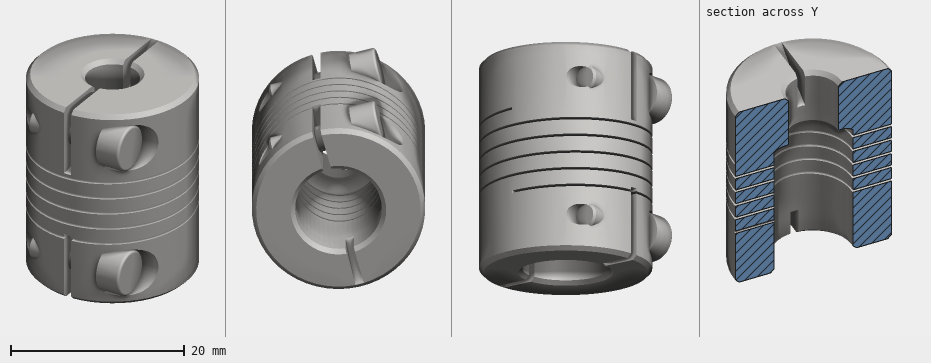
import cadquery as cq
import math

OUTER_RADIUS = 10.0
LENGTH = 25.0
HALF_LENGTH = LENGTH / 2
EDGE_CHAMFER = 0.5

SMALL_BORE_RADIUS = 3.175
LARGE_BORE_RADIUS = 5.0
SHOULDER_Z = 5.5
SHOULDER_ARC_RADIUS = 2.0
SHOULDER_ARC_DROP = 0.5
SHOULDER_ARC_REACH = math.sqrt(SHOULDER_ARC_RADIUS**2 - (SHOULDER_ARC_RADIUS - SHOULDER_ARC_DROP) ** 2)

HELIX_PITCH = 2.0
HELIX_TURNS = 5
HELIX_HEIGHT = HELIX_PITCH * HELIX_TURNS
HELIX_WIDTH = 0.3
CUT_OVERRUN = 0.2

SLOT_WIDTH = 1.0
SLOT_DEPTH = 8.5
SAW_RADIUS = 30.0
SAW_CENTRE_Z = HALF_LENGTH - SLOT_DEPTH + SAW_RADIUS
SAW_EXIT_Y = OUTER_RADIUS - EDGE_CHAMFER
SAW_CENTRE_Y = SAW_EXIT_Y - math.sqrt(SAW_RADIUS**2 - (SAW_CENTRE_Z - HALF_LENGTH) ** 2)

SCREW_Y = -7.5
SCREW_END_DISTANCE = 4.25
SCREW_Z = HALF_LENGTH - SCREW_END_DISTANCE
THREAD_RADIUS = 1.5
THREAD_LENGTH = 10.0
TIP_CHAMFER = 0.25
HEAD_RADIUS = 2.75
HEAD_LENGTH = 3.0
HEAD_FILLET = 0.3
HEAD_SEAT_X = 4.0
TIP_X = HEAD_SEAT_X - THREAD_LENGTH

TAP_RADIUS = THREAD_RADIUS - TIP_CHAMFER
COUNTERBORE_RADIUS = 3.0


def cylinder_along_x(radius, start_x, end_x, y, z):
    """Cylinder parallel to X between two X positions."""
    return cq.Workplane("YZ", origin=(start_x, y, z)).circle(radius).extrude(end_x - start_x)


def hub_blank():
    """Chamfered tube with a stepped, chamfered bore, turned about Z."""
    small_mouth = SMALL_BORE_RADIUS + EDGE_CHAMFER
    large_mouth = LARGE_BORE_RADIUS + EDGE_CHAMFER
    rim = OUTER_RADIUS - EDGE_CHAMFER
    edge_z = HALF_LENGTH - EDGE_CHAMFER
    return (
        cq.Workplane("XZ")
        .moveTo(small_mouth, HALF_LENGTH)
        .lineTo(rim, HALF_LENGTH)
        .lineTo(OUTER_RADIUS, edge_z)
        .lineTo(OUTER_RADIUS, -edge_z)
        .lineTo(rim, -HALF_LENGTH)
        .lineTo(large_mouth, -HALF_LENGTH)
        .lineTo(LARGE_BORE_RADIUS, -edge_z)
        .lineTo(LARGE_BORE_RADIUS, SHOULDER_Z - SHOULDER_ARC_DROP)
        .radiusArc((LARGE_BORE_RADIUS - SHOULDER_ARC_REACH, SHOULDER_Z), -SHOULDER_ARC_RADIUS)
        .lineTo(SMALL_BORE_RADIUS, SHOULDER_Z)
        .lineTo(SMALL_BORE_RADIUS, edge_z)
        .close()
        .revolve(360, (0, 0), (0, 1))
    )


def helical_cut():
    """Thin right-handed helical strip that passes right through the wall."""
    inner = LARGE_BORE_RADIUS - CUT_OVERRUN
    outer = OUTER_RADIUS + CUT_OVERRUN
    middle = (inner + outer) / 2
    path = cq.Workplane(cq.Wire.makeHelix(HELIX_PITCH, HELIX_HEIGHT, middle))
    strip = (
        cq.Workplane("XZ")
        .center(middle, 0)
        .rect(outer - inner, HELIX_WIDTH)
        .sweep(path, isFrenet=True)
    )
    return strip.rotate((0, 0, 0), (0, 0, 1), 180).translate((0, 0, -HELIX_HEIGHT / 2))


def clamp_slot(end):
    """Saw-blade cut at the top (end = 1) or the bottom (end = -1)."""
    return cylinder_along_x(SAW_RADIUS, -SLOT_WIDTH / 2, SLOT_WIDTH / 2, SAW_CENTRE_Y, end * SAW_CENTRE_Z)


def screw_hole(z):
    """Tapped hole on the -X side and counterbore for the head on the +X side."""
    tap = cylinder_along_x(TAP_RADIUS, -OUTER_RADIUS, TIP_X, SCREW_Y, z)
    counterbore = cylinder_along_x(COUNTERBORE_RADIUS, HEAD_SEAT_X, OUTER_RADIUS, SCREW_Y, z)
    return tap.union(thread_space(z)).union(counterbore)


def thread_space(z):
    """Space taken by the threaded shank, with its chamfered tip."""
    shank = cylinder_along_x(THREAD_RADIUS, TIP_X, HEAD_SEAT_X, SCREW_Y, z)
    return shank.faces("<X").chamfer(TIP_CHAMFER)


def clamp_screw(z):
    """Cap screw with a plain cylindrical head on the +X side."""
    head = cylinder_along_x(HEAD_RADIUS, HEAD_SEAT_X, HEAD_SEAT_X + HEAD_LENGTH, SCREW_Y, z)
    head = head.faces(">X").edges().fillet(HEAD_FILLET)
    return head.union(thread_space(z))


hub = hub_blank().cut(helical_cut())
screws = []
for end in (1, -1):
    hub = hub.cut(clamp_slot(end)).cut(screw_hole(end * SCREW_Z))
    screws.append(clamp_screw(end * SCREW_Z).solids().val())

result = cq.Compound.makeCompound([hub.solids().val(), *screws])